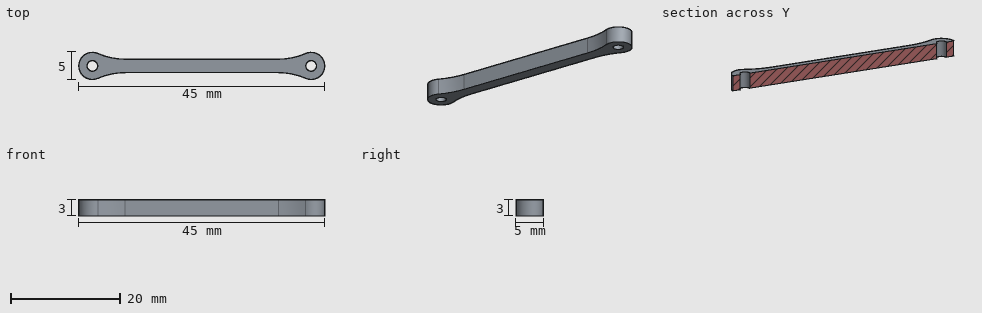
import cadquery as cq
import math

hole_spacing = 40.0
end_radius = 2.5
hole_diameter = 1.9
bar_width = 2.5
thickness = 3.0
neck_length = 6.0

half_spacing = hole_spacing / 2
half_width = bar_width / 2
neck_radius = (neck_length**2 + half_width**2 - end_radius**2) / (2 * (end_radius - half_width))
neck_center_y = half_width + neck_radius

tangent_angle = math.atan2(neck_center_y, neck_length)
tangent_inset = end_radius * math.cos(tangent_angle)
tangent_y = end_radius * math.sin(tangent_angle)

neck_mid_angle = (tangent_angle + math.pi / 2) / 2
neck_mid_inset = neck_length - neck_radius * math.cos(neck_mid_angle)
neck_mid_y = neck_center_y - neck_radius * math.sin(neck_mid_angle)

bar_end_x = half_spacing - neck_length
neck_mid_x = half_spacing - neck_mid_inset
tangent_x = half_spacing - tangent_inset
tip_x = half_spacing + end_radius


def link_body():
    """Slim bar that flares through concave necks into two round ends."""
    return (
        cq.Workplane("XY")
        .moveTo(-bar_end_x, half_width)
        .lineTo(bar_end_x, half_width)
        .threePointArc((neck_mid_x, neck_mid_y), (tangent_x, tangent_y))
        .threePointArc((tip_x, 0), (tangent_x, -tangent_y))
        .threePointArc((neck_mid_x, -neck_mid_y), (bar_end_x, -half_width))
        .lineTo(-bar_end_x, -half_width)
        .threePointArc((-neck_mid_x, -neck_mid_y), (-tangent_x, -tangent_y))
        .threePointArc((-tip_x, 0), (-tangent_x, tangent_y))
        .threePointArc((-neck_mid_x, neck_mid_y), (-bar_end_x, half_width))
        .close()
        .extrude(thickness)
    )


def pin_holes():
    """Through-hole cutters, one at the centre of each round end."""
    return (
        cq.Workplane("XY")
        .pushPoints([(-half_spacing, 0), (half_spacing, 0)])
        .circle(hole_diameter / 2)
        .extrude(thickness)
    )


result = link_body().cut(pin_holes())